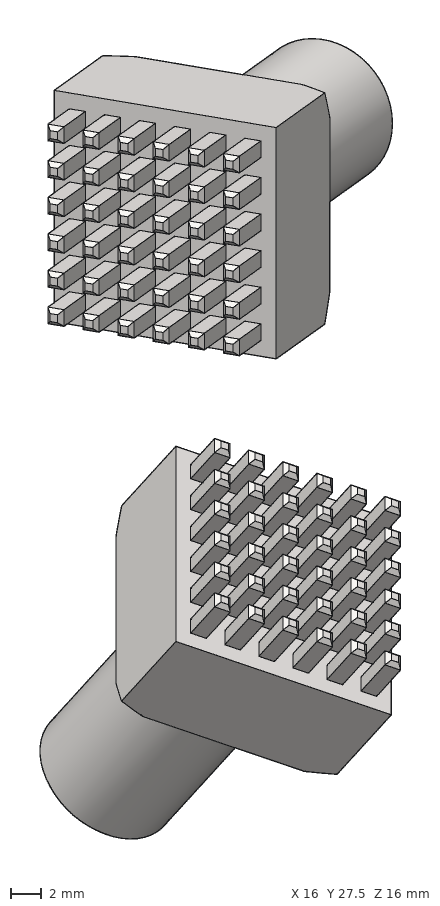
import cadquery as cq
import math

total_length = 27.5
body_side = 16.0
body_depth = 8.0
corner_circle_radius = 10.0
corner_chamfer_angle = 30

shaft_diameter = 10.0
shaft_length = 16.0
shaft_chamfer = 0.5

pins_per_side = 6
pin_pitch = 2.53
pin_width = 1.15
tip_chamfer = 0.3

pin_length = total_length - shaft_length - body_depth
pin_root_y = -body_depth / 2
shaft_root_y = body_depth / 2


def along_y(start_y, direction=1):
    """Workplane on the part's axis at start_y, facing +Y or -Y."""
    return cq.Workplane(cq.Plane(origin=(0, start_y, 0), xDir=(1, 0, 0), normal=(0, direction, 0)))


def make_body():
    """Square block whose shaft-side corners are turned off conically, like a nut."""
    block = along_y(pin_root_y).rect(body_side, body_side).extrude(body_depth)
    clear_radius = body_side
    drop = (clear_radius - corner_circle_radius) * math.tan(math.radians(corner_chamfer_angle))
    corner_cutter = (
        cq.Workplane("XY")
        .moveTo(corner_circle_radius, shaft_root_y)
        .lineTo(clear_radius, shaft_root_y)
        .lineTo(clear_radius, shaft_root_y - drop)
        .close()
        .revolve(360, (0, 0, 0), (0, 1, 0))
    )
    return block.cut(corner_cutter)


def make_shaft():
    """Round shaft with a chamfered free end."""
    shaft = along_y(shaft_root_y).circle(shaft_diameter / 2).extrude(shaft_length)
    return shaft.faces(">Y").chamfer(shaft_chamfer)


def make_pins():
    """Grid of square pins, each chamfered around its tip."""
    return (
        along_y(pin_root_y, -1)
        .rarray(pin_pitch, pin_pitch, pins_per_side, pins_per_side)
        .rect(pin_width, pin_width)
        .extrude(pin_length)
        .faces("<Y")
        .chamfer(tip_chamfer)
    )


result = make_body().union(make_shaft()).union(make_pins())